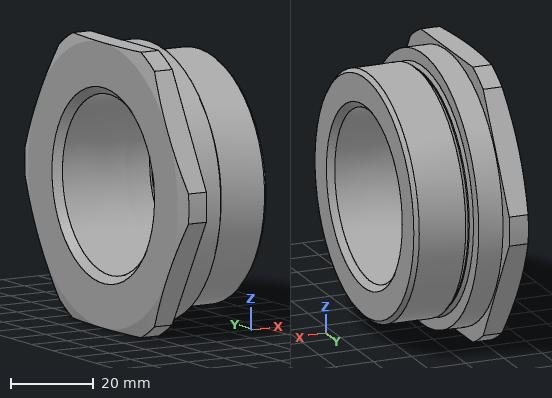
import cadquery as cq
import math

across_flats = 70.0
corner_diameter = 76.95
hex_thickness = 6.0
hex_chamfer_depth = 1.0

total_length = 27.6
collar_diameter = 68.95
collar_end = 12.4
groove_diameter = 60.3
groove_floor_start = 13.0
groove_floor_end = 13.3
thread_diameter = 62.6
end_chamfer = 1.0

bore_diameter = 43.3
mouth_diameter = 48.0
mouth_depth = 1.85
taper_diameter = 44.3
taper_end = 19.4
bore_exit_chamfer = 1.55


def revolve_profile(points):
    """Revolve (x, radius) points around the X axis."""
    return cq.Workplane("XY").polyline(points).close().revolve(360, (0, 0, 0), (1, 0, 0))


def make_hex_flange():
    """Hexagon with corners on the Y axis, the corners turned and chamfered."""
    across_corners = across_flats / math.cos(math.pi / 6)
    hexagon = cq.Workplane("YZ").polygon(6, across_corners).extrude(hex_thickness)
    turned_blank = revolve_profile([
        (0, 0),
        (0, across_flats / 2),
        (hex_chamfer_depth, corner_diameter / 2),
        (hex_thickness, corner_diameter / 2),
        (hex_thickness, 0),
    ])
    return hexagon.intersect(turned_blank)


def make_body():
    """Collar, relief groove and chamfered thread cylinder."""
    thread_radius = thread_diameter / 2
    groove_radius = groove_diameter / 2
    groove_depth = thread_radius - groove_radius
    return revolve_profile([
        (hex_thickness, 0),
        (hex_thickness, collar_diameter / 2),
        (collar_end, collar_diameter / 2),
        (collar_end, thread_radius),
        (groove_floor_start, groove_radius),
        (groove_floor_end, groove_radius),
        (groove_floor_end + groove_depth, thread_radius),
        (total_length - end_chamfer, thread_radius),
        (total_length, thread_radius - end_chamfer),
        (total_length, 0),
    ])


def make_bore():
    """Through bore with a conical mouth, a slight taper and a chamfered straight far end."""
    return revolve_profile([
        (0, 0),
        (0, mouth_diameter / 2),
        (mouth_depth, taper_diameter / 2),
        (taper_end, bore_diameter / 2),
        (total_length - bore_exit_chamfer, bore_diameter / 2),
        (total_length, bore_diameter / 2 + bore_exit_chamfer),
        (total_length, 0),
    ])


result = make_hex_flange().union(make_body()).cut(make_bore())